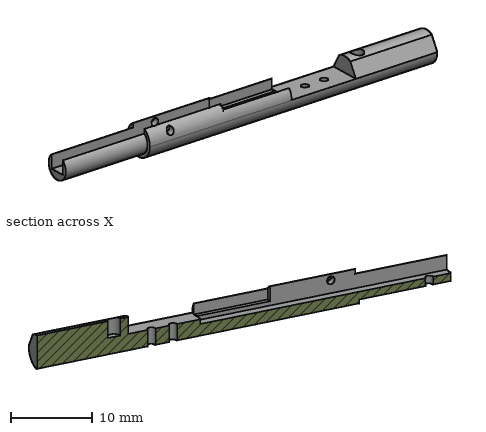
import cadquery as cq

length = 57.15
body_diameter = 4.5
neck_diameter = 3.5
neck_length = 12.65
body_radius = body_diameter / 2
body_length = length - neck_length

block_length = 12.65
block_top_half_width = 1.15
block_start = length - block_length
block_hole_diameter = 1.65
block_hole_y = length - 10.65

flat_z = 0.0
flat_length = 9.95
flat_start = block_start - flat_length

slot_width = 2.25
slot_floor_z = -0.65

socket_width = neck_diameter
socket_length = 10.2
socket_floor_z = flat_z - 0.05
socket_start = flat_start - socket_length

pin_diameter = 1.05
vertical_pin_ys = (3.0, length - 18.8, length - 15.85)
cross_pin_y = neck_length + 3.4
cross_pin_z = 1.1


def rod(diameter, start, rod_length):
    """Cylinder along +Y beginning at Y = start."""
    plane = cq.Plane(origin=(0, start, 0), xDir=(1, 0, 0), normal=(0, 1, 0))
    return cq.Workplane(plane).circle(diameter / 2).extrude(rod_length)


def channel(width, start, end, floor_z):
    """Box that opens the rod upward from floor_z between two Y positions."""
    box = cq.Workplane("XY").box(width, end - start, body_diameter, centered=(True, False, False))
    return box.translate((0, start, floor_z))


def block_sides():
    """Wedges that leave sloping flats from the block's top down to the flat."""
    edge_x = (body_radius**2 - flat_z**2) ** 0.5
    top_z = (body_radius**2 - block_top_half_width**2) ** 0.5
    profile = [
        (edge_x, flat_z),
        (block_top_half_width, top_z),
        (body_diameter, body_diameter),
        (body_diameter, flat_z),
    ]
    right = cq.Workplane("XZ", origin=(0, block_start, 0)).polyline(profile).close().extrude(-block_length)
    return right.union(right.mirror("YZ"))


def vertical_hole(y, diameter, bottom_z):
    """Round cutter from bottom_z to above the rod."""
    hole = cq.Workplane("XY", origin=(0, y, bottom_z)).circle(diameter / 2)
    return hole.extrude(body_diameter)


result = rod(neck_diameter, 0, neck_length).union(rod(body_diameter, neck_length, body_length))

result = result.cut(block_sides())
result = result.cut(channel(2 * body_diameter, flat_start, block_start, flat_z))

result = result.cut(channel(slot_width, 0, flat_start, slot_floor_z))
result = result.cut(channel(socket_width, socket_start, flat_start, socket_floor_z))

result = result.cut(vertical_hole(block_hole_y, block_hole_diameter, flat_z))

for pin_y in vertical_pin_ys:
    result = result.cut(vertical_hole(pin_y, pin_diameter, -body_radius))

cross_pin = cq.Workplane("YZ").center(cross_pin_y, cross_pin_z).circle(pin_diameter / 2)
result = result.cut(cross_pin.extrude(body_diameter, both=True))